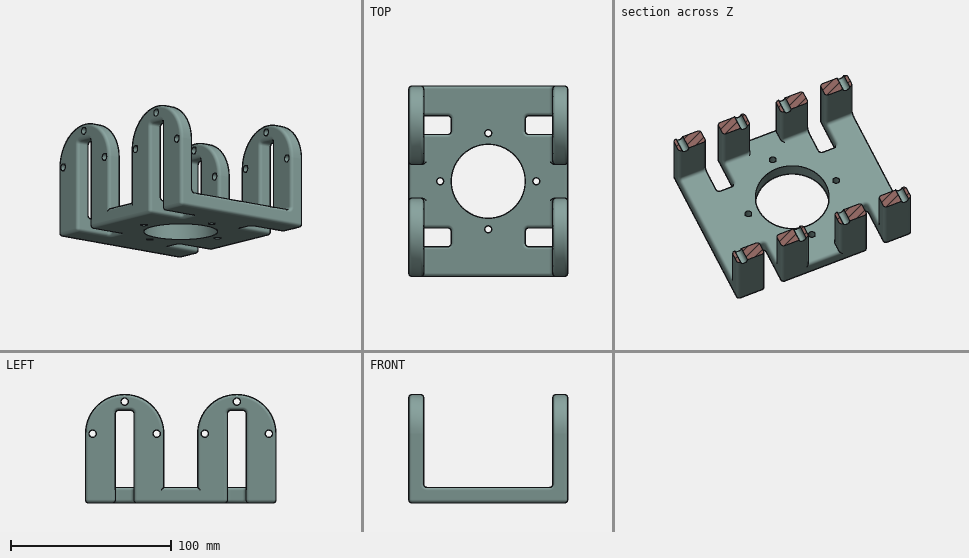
import cadquery as cq

length = 119.0
width = 99.2
height = 67.8

base_thickness = 9.9
wall_thickness = 9.4
edge_radius = 2.0
inside_width = width - 2 * wall_thickness

arch_pitch = 70.0
arch_width = length - arch_pitch
arch_radius = arch_width / 2
arch_center_z = height - arch_radius
arch_y = arch_pitch / 2
gap_width = arch_pitch - arch_width

slot_width = 11.5
slot_top_z = 57.8
slot_end_x = 23.2
slot_length = width / 2 - slot_end_x

bore_diameter = 46.0
base_hole_diameter = 4.2
base_hole_circle_radius = 30.0
arch_hole_diameter = 4.4
arch_hole_circle_radius = 20.0

base_overlap = 2 * edge_radius


def slot_cutter(side):
    """L-shaped slot of one arch: side is -1 for the -X wall and 1 for the +X wall."""
    through_base = (
        cq.Workplane("XY")
        .center(side * (slot_end_x + slot_length / 2), arch_y)
        .rect(slot_length, slot_width)
        .extrude(base_thickness + edge_radius)
        .edges("|Z and <X" if side > 0 else "|Z and >X")
        .fillet(edge_radius)
    )
    through_wall = (
        cq.Workplane("XY")
        .center(side * (width - wall_thickness) / 2, arch_y)
        .rect(wall_thickness, slot_width)
        .extrude(slot_top_z)
        .edges("|X and >Z")
        .fillet(edge_radius)
    )
    return through_base.union(through_wall)


def arch_pair():
    """Facing pair of slotted arches on the +Y half, joined by their part of the base."""
    outline = (
        cq.Workplane("YZ")
        .moveTo(arch_y - arch_radius, 0)
        .lineTo(arch_y + arch_radius, 0)
        .lineTo(arch_y + arch_radius, arch_center_z)
        .threePointArc((arch_y, height), (arch_y - arch_radius, arch_center_z))
        .close()
        .extrude(width / 2, both=True)
    )
    inside = (
        cq.Workplane("XY")
        .workplane(offset=base_thickness)
        .rect(inside_width, 2 * length)
        .extrude(height)
        .edges("|Y and <Z")
        .fillet(edge_radius)
    )
    pair = outline.cut(inside).cut(slot_cutter(-1)).cut(slot_cutter(1))

    pair = pair.faces("<X or >X or <Z").edges().fillet(edge_radius)

    floor_point = (0, arch_y, base_thickness)
    floor = pair.faces(cq.selectors.NearestToPointSelector(floor_point))
    return floor.edges("|X").fillet(edge_radius)


def base_middle():
    """Strip of the base between the arch pairs, with its long outer edges rounded."""
    return (
        cq.Workplane("XY")
        .rect(width, gap_width + 2 * base_overlap)
        .extrude(base_thickness)
        .edges("|Y")
        .fillet(edge_radius)
    )


def base_holes():
    """Central bore and the four small holes around it."""
    bore = cq.Workplane("XY").circle(bore_diameter / 2).extrude(base_thickness)
    small_holes = (
        cq.Workplane("XY")
        .polarArray(base_hole_circle_radius, 0, 360, 4)
        .circle(base_hole_diameter / 2)
        .extrude(base_thickness)
    )
    return bore.union(small_holes)


def arch_holes(center_y):
    """Three holes around the top of an arch, through both side walls."""
    return (
        cq.Workplane("YZ")
        .center(center_y, arch_center_z)
        .polarArray(arch_hole_circle_radius, 0, 180, 3)
        .circle(arch_hole_diameter / 2)
        .extrude(width / 2, both=True)
    )


rear_pair = arch_pair()
front_pair = rear_pair.mirror("XZ")

bracket = base_middle().union(rear_pair).union(front_pair).cut(base_holes())
for center_y in (-arch_y, arch_y):
    bracket = bracket.cut(arch_holes(center_y))

result = bracket.solids()